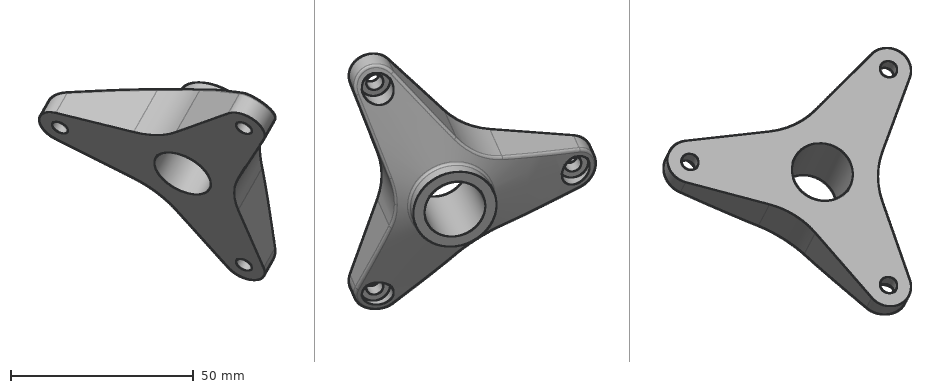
import cadquery as cq
import math

SPAN_Z = 76.6
ARM_COUNT = 3
TIP_RADIUS = 6.3
WEB_RADIUS = 23.0
WEB_DISTANCE = 15.55
BORE_DIAMETER = 17.0
ARM_HOLE_DIAMETER = 4.75
COUNTERBORE_DIAMETER = 8.5
COUNTERBORE_FLOOR = 5.0
BOSS_RADIUS = 11.65
TOTAL_HEIGHT = 23.2
CONE_TOP_HEIGHT = 18.85
CONE_TIP_HEIGHT = 6.35
EDGE_FILLET = 1.0
BOSS_FILLET = 1.0

ARM_PITCH = 360.0 / ARM_COUNT
HALF_PITCH = ARM_PITCH / 2
FIRST_ARM_ANGLE = HALF_PITCH
ARM_LENGTH = (SPAN_Z - 2 * TIP_RADIUS) / (2 * math.sin(math.radians(FIRST_ARM_ANGLE)))
OUTER_RADIUS = ARM_LENGTH + TIP_RADIUS
ARM_ANGLES = [FIRST_ARM_ANGLE + i * ARM_PITCH for i in range(ARM_COUNT)]


def polar(radius, angle, center=(0.0, 0.0)):
    """Point at a radius and an angle in degrees around a center."""
    a = math.radians(angle)
    return (center[0] + radius * math.cos(a), center[1] + radius * math.sin(a))


def base_plane():
    """Sketch plane with local x = X, local y = Z and its normal along -Y."""
    return cq.Workplane("XZ")


def flank_normal_offset():
    """Angle between an arm axis and the normal of its straight flank."""
    web_center_distance = WEB_DISTANCE + WEB_RADIUS
    tip = (ARM_LENGTH, 0.0)
    web_center = polar(web_center_distance, HALF_PITCH)
    dx = web_center[0] - tip[0]
    dy = web_center[1] - tip[1]
    center_line_angle = math.degrees(math.atan2(dy, dx))
    turn = math.degrees(math.acos((TIP_RADIUS + WEB_RADIUS) / math.hypot(dx, dy)))
    return center_line_angle - turn


def star_outline():
    """Rounded arms with straight flanks, joined by concave web arcs."""
    normal = flank_normal_offset()
    outline = base_plane().moveTo(
        *polar(TIP_RADIUS, ARM_ANGLES[0] - normal, polar(ARM_LENGTH, ARM_ANGLES[0]))
    )
    for angle in ARM_ANGLES:
        tip = polar(ARM_LENGTH, angle)
        next_angle = angle + ARM_PITCH
        next_tip = polar(ARM_LENGTH, next_angle)
        web_angle = angle + HALF_PITCH
        web_center = polar(WEB_DISTANCE + WEB_RADIUS, web_angle)
        outline = (
            outline
            .threePointArc(polar(OUTER_RADIUS, angle), polar(TIP_RADIUS, angle + normal, tip))
            .lineTo(*polar(-WEB_RADIUS, angle + normal, web_center))
            .threePointArc(
                polar(WEB_DISTANCE, web_angle),
                polar(-WEB_RADIUS, next_angle - normal, web_center),
            )
            .lineTo(*polar(TIP_RADIUS, next_angle - normal, next_tip))
        )
    return outline.close()


def cone_envelope():
    """Solid of revolution about Y whose cone forms the sloping face of the arms."""
    slope = (CONE_TOP_HEIGHT - CONE_TIP_HEIGHT) / (OUTER_RADIUS - BOSS_RADIUS)
    apex_height = CONE_TOP_HEIGHT + slope * BOSS_RADIUS
    rim_radius = apex_height / slope
    return (
        cq.Workplane("XY")
        .polyline([(0, 0), (rim_radius, 0), (0, apex_height)])
        .close()
        .revolve(360, (0, 0, 0), (0, 1, 0))
    )


def arms():
    """Star body under the cone, rounded along the sloping edge."""
    star = star_outline().extrude(-TOTAL_HEIGHT * 2).intersect(cone_envelope())
    return star.faces("%CONE").edges().fillet(EDGE_FILLET)


def boss():
    return base_plane().circle(BOSS_RADIUS).extrude(-TOTAL_HEIGHT)


def boss_root(body):
    """Fillet the circle where the boss meets the cone."""
    margin = 0.8
    box = cq.selectors.BoxSelector(
        (-BOSS_RADIUS - margin, CONE_TOP_HEIGHT - margin, -BOSS_RADIUS - margin),
        (BOSS_RADIUS + margin, CONE_TOP_HEIGHT + margin, BOSS_RADIUS + margin),
        boundingbox=True,
    )
    return body.edges("%CIRCLE").edges(box).fillet(BOSS_FILLET)


def central_bore():
    return base_plane().circle(BORE_DIAMETER / 2).extrude(-TOTAL_HEIGHT)


def arm_holes():
    """Screw hole at each arm end, counterbored from the sloping face."""
    centers = [polar(ARM_LENGTH, angle) for angle in ARM_ANGLES]
    holes = base_plane().pushPoints(centers).circle(ARM_HOLE_DIAMETER / 2).extrude(-TOTAL_HEIGHT)
    counterbores = (
        base_plane()
        .workplane(offset=-COUNTERBORE_FLOOR)
        .pushPoints(centers)
        .circle(COUNTERBORE_DIAMETER / 2)
        .extrude(-TOTAL_HEIGHT)
    )
    return holes.union(counterbores)


height_limit = base_plane().circle(OUTER_RADIUS).extrude(-TOTAL_HEIGHT)
body = arms().intersect(height_limit).union(boss())
result = boss_root(body).cut(central_bore()).cut(arm_holes())